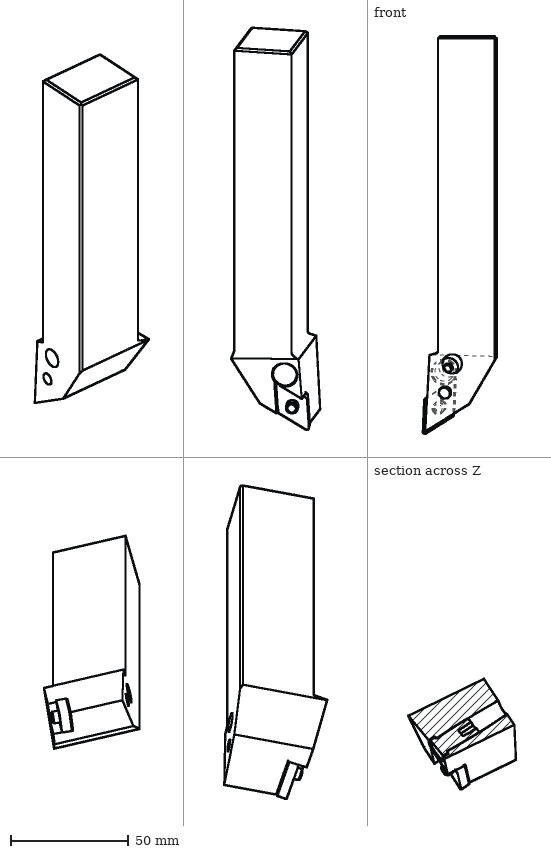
import cadquery as cq
import math


TOOL_LENGTH = 169.5
SHANK_WIDTH = 25.1
SHANK_DEPTH = 32.0
EDGE_CHAMFER = 1.0
END_CHAMFER = 1.0

HEAD_DEPTH = 38.0
RAKE_ANGLE = 6.0
HEAD_SIDE_ANGLE = 3.0
HEAD_SIDE_X = -30.5
SHOULDER_Z = 34.5
SHOULDER_ANGLE = 15.0
SHOULDER_FILLET = 1.0
SHOULDER_REACH = 13.5
FLANK_TOP_Z = 32.7
NOSE_CORNER_X = -11.7
NOSE_CORNER_Z = 12.7

INSERT_CIRCLE = 12.7
INSERT_ANGLE = 55.0
INSERT_THICKNESS = 4.2
INSERT_HOLE = 5.1
NOSE_RADIUS = 0.93
TIP_X = -32.0
TIP_Z = -1.2
TOP_BELOW_FACE = 3.7

SHIM_THICKNESS = 0.6
SHIM_SETBACK = 0.7
POCKET_CLEARANCE = 0.25
POCKET_MARGIN = 8.5

PIN_ABOVE_INSERT = 3.2
PIN_INTO_HOLDER = 3.4
PIN_CHAMFER = 0.7

SCREW_X = -19.0
SCREW_Z = 29.8
SCREW_DIAMETER = 8.1
SCREW_RECESS = 15.3
SCREW_HEAD_DIAMETER = 10.2
SCREW_HEAD_HEIGHT = 2.5
SCREW_HEAD_SINK = 0.5
COUNTERBORE_DIAMETER = 10.8
SOCKET_CORNERS = 3.9
SOCKET_DEPTH = 6.8

BLIND_HOLE_X = -22.0
BLIND_HOLE_Z = 17.6
BLIND_HOLE_DIAMETER = 5.1
BLIND_HOLE_DEPTH = 5.1

BEYOND = 84.8


def tan(degrees):
    return math.tan(math.radians(degrees))


RAKE_SLOPE = tan(RAKE_ANGLE)
SHOULDER_SLOPE = tan(SHOULDER_ANGLE)
NOSE_EDGE_ANGLE = 90 - HEAD_SIDE_ANGLE - INSERT_ANGLE

HEAD_CORNER_Z = SHOULDER_Z - SHOULDER_SLOPE * (HEAD_DEPTH - SHANK_DEPTH)
FACE_NORMAL = cq.Vector(-RAKE_SLOPE, 1, -RAKE_SLOPE).normalized()


def face_y(x, z):
    """Height of the head face above the point (x, z)."""
    return HEAD_DEPTH + RAKE_SLOPE * (x + z - HEAD_CORNER_Z)


def square_to_face(x, y, z):
    """Plane parallel to the head face; its local Y runs up the side of the head."""
    side = cq.Vector(tan(HEAD_SIDE_ANGLE), 0, 1)
    up = side - FACE_NORMAL * side.dot(FACE_NORMAL)
    return cq.Plane(origin=(x, y, z), xDir=up.cross(FACE_NORMAL), normal=FACE_NORMAL)


EDGE = INSERT_CIRCLE / math.sin(math.radians(INSERT_ANGLE))
EDGE_X = -math.sin(math.radians(INSERT_ANGLE))
EDGE_Y = math.cos(math.radians(INSERT_ANGLE))
INNER_CORNER = (EDGE * EDGE_X, EDGE * (EDGE_Y + 1))
INSERT_CENTRE = (INNER_CORNER[0] / 2, INNER_CORNER[1] / 2)

tip_on_face = cq.Workplane(square_to_face(TIP_X, face_y(TIP_X, TIP_Z), TIP_Z))
insert_top = tip_on_face.workplane(offset=-TOP_BELOW_FACE)
insert_bottom = insert_top.workplane(offset=-INSERT_THICKNESS)
shim_bottom = insert_bottom.workplane(offset=-SHIM_THICKNESS)


def rhombus(plane, edge, height, inner_corner=INNER_CORNER):
    """Rhombic plate of the given edge length, placed by its innermost corner."""
    x, y = inner_corner
    corners = [
        (x, y),
        (x, y - edge),
        (x - edge * EDGE_X, y - edge * (EDGE_Y + 1)),
        (x - edge * EDGE_X, y - edge * EDGE_Y),
    ]
    return plane.polyline(corners).close().extrude(height)


def seat_plate(plane, edge, thickness):
    """Rhombic plate with rounded corners and the hole for the pin."""
    plate = rhombus(plane, edge, thickness)
    plate = plate.edges(cq.selectors.ParallelDirSelector(FACE_NORMAL)).fillet(NOSE_RADIUS)
    hole = plane.center(*INSERT_CENTRE).circle(INSERT_HOLE / 2).extrude(thickness)
    return plate.cut(hole)


def make_insert():
    return seat_plate(insert_bottom, EDGE, INSERT_THICKNESS)


def make_shim():
    return seat_plate(shim_bottom, EDGE - SHIM_SETBACK, SHIM_THICKNESS)


def make_pin():
    length = PIN_INTO_HOLDER + SHIM_THICKNESS + INSERT_THICKNESS + PIN_ABOVE_INSERT
    start = shim_bottom.workplane(offset=-PIN_INTO_HOLDER).center(*INSERT_CENTRE)
    return start.circle(INSERT_HOLE / 2).extrude(length).faces(">Y").chamfer(PIN_CHAMFER)


screw_entry = cq.Workplane(square_to_face(SCREW_X, 0, SCREW_Z))
SCREW_TOP = face_y(SCREW_X, SCREW_Z) * FACE_NORMAL.y - SCREW_HEAD_SINK
SCREW_HEAD_SEAT = SCREW_TOP - SCREW_HEAD_HEIGHT


def make_clamp_screw():
    end = screw_entry.workplane(offset=SCREW_RECESS)
    shaft = end.circle(SCREW_DIAMETER / 2).extrude(SCREW_TOP - SCREW_RECESS)
    seat = screw_entry.workplane(offset=SCREW_HEAD_SEAT)
    head = seat.circle(SCREW_HEAD_DIAMETER / 2).extrude(SCREW_HEAD_HEIGHT)
    socket = end.polygon(6, SOCKET_CORNERS).extrude(SOCKET_DEPTH)
    return shaft.union(head).cut(socket)


def screw_hole():
    bore = screw_entry.workplane(offset=-BEYOND).circle(SCREW_DIAMETER / 2).extrude(2 * BEYOND)
    seat = screw_entry.workplane(offset=SCREW_HEAD_SEAT)
    return bore.union(seat.circle(COUNTERBORE_DIAMETER / 2).extrude(BEYOND))


def nose_edge_z(x):
    """Height of the lower edge of the head, parallel to the end cutting edge of the insert."""
    return NOSE_CORNER_Z + tan(NOSE_EDGE_ANGLE) * (x - NOSE_CORNER_X)


def shank():
    start = cq.Workplane("XY", origin=(-SHANK_WIDTH / 2, SHANK_DEPTH / 2, FLANK_TOP_Z))
    bar = start.rect(SHANK_WIDTH, SHANK_DEPTH).extrude(TOOL_LENGTH - FLANK_TOP_Z)
    return bar.faces(">Z").chamfer(END_CHAMFER)


def head():
    side_slope = tan(HEAD_SIDE_ANGLE)
    tip_x = (HEAD_SIDE_X + side_slope * nose_edge_z(0)) / (1 - side_slope * tan(NOSE_EDGE_ANGLE))
    outline = [
        (0, SHOULDER_Z),
        (0, FLANK_TOP_Z),
        (NOSE_CORNER_X, NOSE_CORNER_Z),
        (tip_x, nose_edge_z(tip_x)),
        (HEAD_SIDE_X + side_slope * SHOULDER_Z, SHOULDER_Z),
    ]
    block = cq.Workplane("XZ").polyline(outline).close().extrude(-BEYOND)
    face = cq.Workplane(square_to_face(0, face_y(0, 0), 0))
    below_face = face.rect(2 * BEYOND, 2 * BEYOND).extrude(-BEYOND)
    return block.intersect(below_face).intersect(shoulder())


def shoulder():
    """Wedge that slopes away from the left side and the upper side of the shank, with a mitre between."""
    low_z = SHOULDER_Z - SHOULDER_SLOPE * SHOULDER_REACH
    left_profile = [
        (BEYOND, SHOULDER_Z),
        (-SHANK_WIDTH, SHOULDER_Z),
        (-SHANK_WIDTH - SHOULDER_REACH, low_z),
        (-SHANK_WIDTH - SHOULDER_REACH, -BEYOND),
        (BEYOND, -BEYOND),
    ]
    upper_profile = [
        (-BEYOND, SHOULDER_Z),
        (SHANK_DEPTH, SHOULDER_Z),
        (SHANK_DEPTH + SHOULDER_REACH, low_z),
        (SHANK_DEPTH + SHOULDER_REACH, -BEYOND),
        (-BEYOND, -BEYOND),
    ]
    left = cq.Workplane("XZ").polyline(left_profile).close().extrude(-BEYOND)
    upper = cq.Workplane("YZ").polyline(upper_profile).close().extrude(BEYOND, both=True)
    return left.intersect(upper)


def shank_edge_chamfer():
    """Prism that bevels the lower right edge of the shank."""
    corner = cq.Workplane("XY").polyline([(0, 0), (-EDGE_CHAMFER, 0), (0, EDGE_CHAMFER)])
    return corner.close().extrude(TOOL_LENGTH)


def insert_pocket():
    corner = (INNER_CORNER[0] - POCKET_CLEARANCE, INNER_CORNER[1] + POCKET_CLEARANCE)
    return rhombus(shim_bottom, EDGE + POCKET_MARGIN, BEYOND, corner)


def blind_hole():
    entry = cq.Workplane(square_to_face(BLIND_HOLE_X, 0, BLIND_HOLE_Z)).workplane(offset=-BLIND_HOLE_DEPTH)
    return entry.circle(BLIND_HOLE_DIAMETER / 2).extrude(2 * BLIND_HOLE_DEPTH)


def make_holder():
    body = shank().union(head())
    root_centres = [(-SHANK_WIDTH, SHANK_DEPTH / 2, SHOULDER_Z), (-SHANK_WIDTH / 2, SHANK_DEPTH, SHOULDER_Z)]
    roots = [body.edges(cq.NearestToPointSelector(centre)).val() for centre in root_centres]
    body = body.newObject(roots).fillet(SHOULDER_FILLET)
    for cutter in (shank_edge_chamfer(), insert_pocket(), make_pin(), screw_hole(), blind_hole()):
        body = body.cut(cutter)
    return body


holder = make_holder()
insert = make_insert()
shim = make_shim()
pin = make_pin()
clamp_screw = make_clamp_screw()
result = cq.Compound.makeCompound(
    [holder.val(), insert.val(), shim.val(), pin.val(), clamp_screw.val()]
)